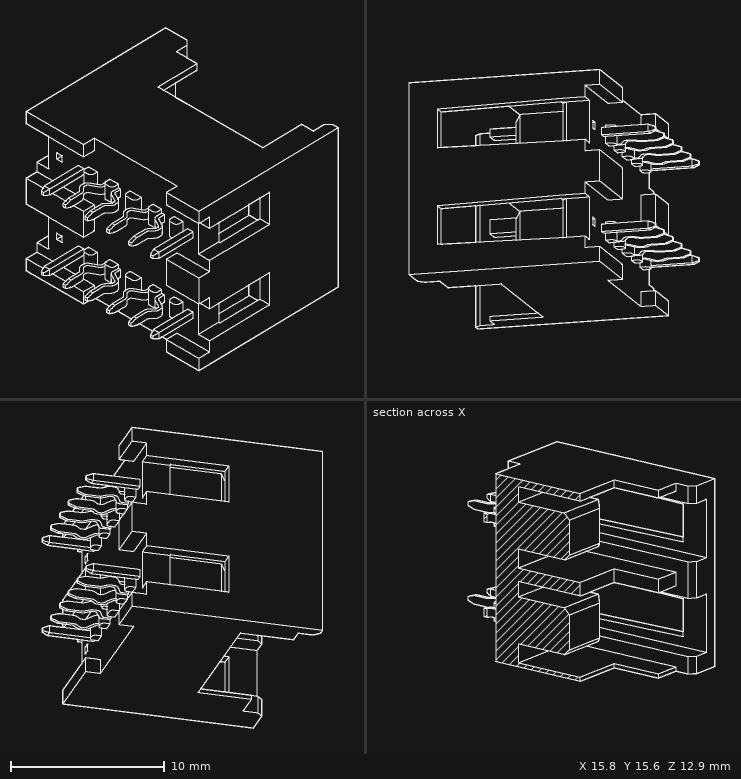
import cadquery as cq


width = 15.8
depth = 13.0
height = 12.9
row_pitch = 6.5
row_heights = (-row_pitch / 2, row_pitch / 2)

left_arm_x = 2.36
right_arm_x = 14.9
arm_y = 11.6
mouth_left_x = 4.25
mouth_right_x = 13.83
mouth_y = 7.97
arm_chamfer = 0.4

recess_left_x = 5.25
recess_right_x = 12.82
recess_depth = 1.0
row_band_height = 4.4

wall = 0.9
floor_y = 2.9
cavity_above_row = 2.66
cavity_below_row = 2.9
key_height = 4.0
tongue_end_y = 7.1
tongue_height = 3.24
tongue_chamfer = 0.42

left_window_x = 1.04
left_window_end_y = 11.07
left_window_height = 2.86
window_end_height = 2.59
lead_in = 0.32
right_window_x = 14.78
right_window_end_y = 6.6

floor_hole_x = 2.05
floor_hole_size = 0.5

pin_pitch = 2.0
row_center_x = 9.04
tail_end_y = -2.6
embed = 0.4
contact_thickness = 0.25
contact_width = 0.6
contact_root_shift = 0.5
contact_bulge_shift = 0.42
contact_bend_radius = 0.3
contact_root_y = 0.36
bulge_start_y = -0.12
bulge_end_y = -0.56
contact_tail_y = -1.0
contact_tip_length = 0.5
contact_tip_width = 0.25
anchor_size = 0.5
anchor_tip_length = 0.42
anchor_tip_size = 0.22

contact_slots = ((-1.5, 1), (-0.5, -1), (0.5, 1), (1.5, -1))
anchor_slots = (-2.5, 2.5)

boss_height = 0.6
boss_length = 1.22
boss_fillet = 0.27
boss_width = 0.8
middle_boss_width = 1.02
boss_offsets = (-3.92, -1.98, 0, 1.98, 3.92)

overshoot = 1.0


def block(x_range, y_range, z_range):
    """Box spanning the given coordinate ranges."""
    size = [high - low for low, high in (x_range, y_range, z_range)]
    corner = (x_range[0], y_range[0], z_range[0])
    return cq.Workplane("XY").box(*size, centered=False).translate(corner)


def row_block(x_range, y_range, z_size, row_z):
    """Box centred in height on a row."""
    return block(x_range, y_range, (row_z - z_size / 2, row_z + z_size / 2))


def plan_prism(points, z_size, row_z):
    """Plan outline given a thickness in Z, centred on a row."""
    prism = cq.Workplane("XY").polyline(points).close().extrude(z_size / 2, both=True)
    return prism.translate((0, 0, row_z))


def housing_shell():
    """Stepped block with its board face recessed between rows of feet."""
    outline = [
        (0, 0),
        (width, 0),
        (width, depth),
        (right_arm_x + arm_chamfer, depth),
        (right_arm_x, depth - arm_chamfer),
        (right_arm_x, arm_y),
        (mouth_right_x, arm_y),
        (mouth_right_x, mouth_y),
        (mouth_left_x, mouth_y),
        (mouth_left_x, arm_y),
        (left_arm_x, arm_y),
        (left_arm_x, depth - arm_chamfer),
        (left_arm_x - arm_chamfer, depth),
        (0, depth),
    ]
    shell = plan_prism(outline, height, 0)
    middle_recess = block((recess_left_x, recess_right_x), (0, recess_depth), (-height / 2, height / 2))
    shell = shell.cut(middle_recess)
    for row_z in row_heights:
        shell = shell.cut(row_block((0, width), (0, recess_depth), row_band_height, row_z))
    return shell


def cavity(row_z):
    """Mating space around the tongue, open to +Y; its left end is shorter in Z."""
    y_range = (floor_y, depth + overshoot)
    key_space = row_block((wall, left_arm_x), y_range, key_height, row_z)
    z_range = (row_z - cavity_below_row, row_z + cavity_above_row)
    main_space = block((left_arm_x, right_arm_x), y_range, z_range)
    tongue = row_block((mouth_left_x, mouth_right_x), (floor_y, tongue_end_y), tongue_height, row_z)
    tongue = tongue.faces(">Y").edges().chamfer(tongue_chamfer)
    return key_space.union(main_space).cut(tongue)


def left_window(row_z):
    """Slot through the left wall, straight through the floor and then tapering in height."""
    half_start = left_window_height / 2
    half_end = window_end_height / 2
    taper_start_y = floor_y - lead_in
    side = [
        (recess_depth, row_z - half_start),
        (taper_start_y, row_z - half_start),
        (left_window_end_y, row_z - half_end),
        (left_window_end_y, row_z + half_end),
        (taper_start_y, row_z + half_start),
        (recess_depth, row_z + half_start),
    ]
    slot = cq.Workplane("YZ").polyline(side).close().extrude(left_window_x)
    lead_points = [
        (left_window_x, taper_start_y),
        (left_window_x + lead_in, floor_y),
        (left_window_x, floor_y),
    ]
    return slot.union(plan_prism(lead_points, left_window_height, row_z))


def right_window(row_z):
    """Slot through the right wall beside the tongue."""
    return row_block((right_window_x, width), (recess_depth, right_window_end_y), window_end_height, row_z)


def floor_hole(row_z):
    """Small square passage from the board face into the cavity."""
    half = floor_hole_size / 2
    x_range = (floor_hole_x - half, floor_hole_x + half)
    return row_block(x_range, (recess_depth, floor_y), floor_hole_size, row_z)


def boss(offset, row_z):
    """Spacer boss with rounded long edges; the middle one is wider."""
    size = middle_boss_width if offset == 0 else boss_width
    x = row_center_x + offset
    x_range = (x - size / 2, x + size / 2)
    body = row_block(x_range, (recess_depth - boss_height, recess_depth), boss_length, row_z)
    return body.faces("<Y").edges("|Z").fillet(boss_fillet)


def contact(x, bend, row_z):
    """Bent solder tail; bend = 1 bulges to -X and bend = -1 bulges to +X."""
    root_x = x + bend * contact_root_shift
    bulge_x = x - bend * contact_bulge_shift
    center_line = [
        (root_x, recess_depth + embed),
        (root_x, contact_root_y),
        (bulge_x, bulge_start_y),
        (bulge_x, bulge_end_y),
        (x, contact_tail_y),
        (x, tail_end_y - contact_thickness),
    ]
    bent_wire = cq.Workplane("XY").polyline(center_line).wire().val().fillet(contact_bend_radius)
    strip = cq.Workplane("XY").newObject([bent_wire]).toPending().offset2D(contact_thickness / 2)
    strip = strip.extrude(contact_width / 2, both=True).translate((0, 0, row_z))

    root_y = recess_depth + embed
    shoulder_y = tail_end_y + contact_tip_length
    side = [
        (root_y, row_z - contact_width / 2),
        (shoulder_y, row_z - contact_width / 2),
        (tail_end_y, row_z - contact_tip_width / 2),
        (tail_end_y, row_z + contact_tip_width / 2),
        (shoulder_y, row_z + contact_width / 2),
        (root_y, row_z + contact_width / 2),
    ]
    return strip.intersect(cq.Workplane("YZ").polyline(side).close().extrude(width))


def anchor(x, row_z):
    """Straight square pin with a tapered tip."""
    half = anchor_size / 2
    shoulder_y = tail_end_y + anchor_tip_length
    shank = row_block((x - half, x + half), (shoulder_y, recess_depth + embed), anchor_size, row_z)
    tip = (
        cq.Workplane("XZ", origin=(x, shoulder_y, row_z))
        .rect(anchor_size, anchor_size)
        .workplane(offset=anchor_tip_length)
        .rect(anchor_tip_size, anchor_tip_size)
        .loft()
    )
    return shank.union(tip)


result = housing_shell()
for row_z in row_heights:
    result = result.cut(cavity(row_z))
    result = result.cut(left_window(row_z))
    result = result.cut(right_window(row_z))
    result = result.cut(floor_hole(row_z))

for row_z in row_heights:
    for offset in boss_offsets:
        result = result.union(boss(offset, row_z))
    for slot, bend in contact_slots:
        result = result.union(contact(row_center_x + slot * pin_pitch, bend, row_z))
    for slot in anchor_slots:
        result = result.union(anchor(row_center_x + slot * pin_pitch, row_z))